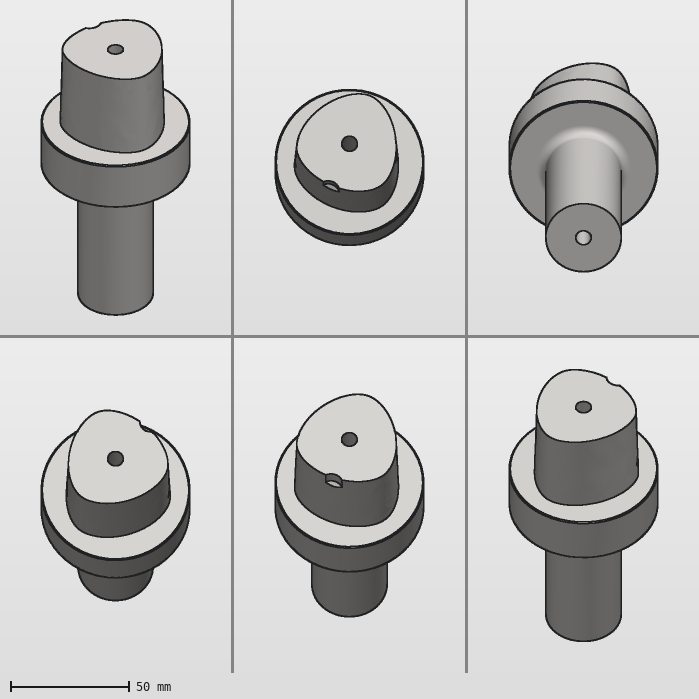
import cadquery as cq
import math

total_height = 128.0
shank_height = 38.0
collar_thickness = 22.0
collar_top = total_height - shank_height
collar_bottom = collar_top - collar_thickness

collar_diameter = 63.0
collar_edge_chamfer = 0.5
stem_diameter = 32.0
stem_fillet_radius = 4.0
bore_diameter = 6.5

shank_base_radius = 22.0
shank_taper = 1 / 20
shank_top_radius = shank_base_radius - shank_taper * shank_height / 2
lobe_height = 1.4
outline_points = 36

notch_radius = 5.0
notch_depth = 6.1
notch_inner_x = -17.9
drill_tip_angle = 118.0
notch_axis_x = notch_inner_x - notch_radius


def lobed_outline_point(mean_radius, angle):
    """Point of a constant-width curve whose support is mean_radius + lobe_height * cos(3 * angle)."""
    x = mean_radius * math.cos(angle) + lobe_height * (2 * math.cos(2 * angle) - math.cos(4 * angle))
    y = mean_radius * math.sin(angle) - lobe_height * (2 * math.sin(2 * angle) + math.sin(4 * angle))
    return (x, y)


def lobed_wire(mean_radius, height):
    angles = [2 * math.pi * i / outline_points for i in range(outline_points)]
    points = [cq.Vector(*lobed_outline_point(mean_radius, angle), height) for angle in angles]
    return cq.Wire.assembleEdges([cq.Edge.makeSpline(points, periodic=True)])


def make_stem_and_collar():
    stem_radius = stem_diameter / 2
    collar_radius = collar_diameter / 2
    chamfer = collar_edge_chamfer
    fillet_start = collar_bottom - stem_fillet_radius
    fillet_offset = stem_fillet_radius * (1 - math.sqrt(0.5))
    return (
        cq.Workplane("XZ")
        .lineTo(stem_radius, 0)
        .lineTo(stem_radius, fillet_start)
        .threePointArc(
            (stem_radius + fillet_offset, collar_bottom - fillet_offset),
            (stem_radius + stem_fillet_radius, collar_bottom),
        )
        .lineTo(collar_radius - chamfer, collar_bottom)
        .lineTo(collar_radius, collar_bottom + chamfer)
        .lineTo(collar_radius, collar_top - chamfer)
        .lineTo(collar_radius - chamfer, collar_top)
        .lineTo(0, collar_top)
        .close()
        .revolve(360, (0, 0), (0, 1))
    )


def make_shank():
    base = lobed_wire(shank_base_radius, collar_top)
    top = lobed_wire(shank_top_radius, total_height)
    return cq.Workplane(cq.Solid.makeLoft([base, top], True))


def make_notch():
    shoulder = total_height - notch_depth
    tip_length = notch_radius / math.tan(math.radians(drill_tip_angle / 2))
    return (
        cq.Workplane("XZ")
        .moveTo(notch_axis_x, total_height)
        .lineTo(notch_axis_x + notch_radius, total_height)
        .lineTo(notch_axis_x + notch_radius, shoulder)
        .lineTo(notch_axis_x, shoulder - tip_length)
        .close()
        .revolve(360, (notch_axis_x, 0), (notch_axis_x, 1))
    )


def make_bore():
    return cq.Workplane("XY").circle(bore_diameter / 2).extrude(total_height)


result = make_stem_and_collar().union(make_shank()).cut(make_notch()).cut(make_bore())